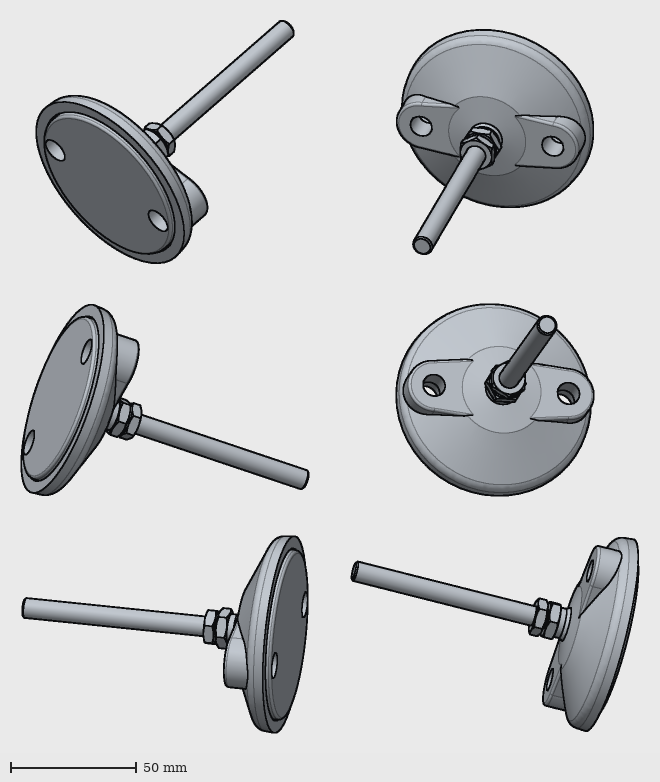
import cadquery as cq
import math


TOTAL_LENGTH = 108.7

PAD_RADIUS = 34.0
PAD_PROUD = 2.1
PAD_EDGE_FILLET = 1.1
PAD_HOLE_RADIUS = 5.1

RIM_DIAMETER = 79.0
RIM_RADIUS = RIM_DIAMETER / 2
RIM_DRAFT = 5.0
SHOULDER_Y = 8.3
SHOULDER_ROUNDING = 4.0
RIDGE_RADIUS = 18.0
RIDGE_Y = 18.3
DOME_TOP_Y = 20.1
RECESS_RADIUS = 34.6
RECESS_Y = 8.0

HOLE_OFFSET = 27.4
BASE_HOLE_RADIUS = 4.5
RIB_END_RADIUS = 10.5
RIB_TAPER = 6.0
RIB_TOP_Y = 18.6
RIB_EDGE_FILLET = 1.1

BALL_RADIUS = 7.1
NECK_RADIUS = 6.1
NECK_START_Y = 21.7
ROD_RADIUS = 4.0
ROD_TIP_CHAMFER = 0.7
RELIEF_RADIUS = 3.6
SPINDLE_HEX_START_Y = 24.3
SPINDLE_HEX_END_Y = 28.7
SPINDLE_HEX_FLATS = 14.0

NUT_START_Y = 29.7
NUT_END_Y = 33.8
NUT_FLATS = 13.0

HEX_SIDES = 6
HEX_HALF_SIDE_ANGLE = 180.0 / HEX_SIDES
HEX_CHAMFER_ANGLE = 30.0

BALL_CENTRE_Y = NECK_START_Y - math.sqrt(BALL_RADIUS**2 - NECK_RADIUS**2)
DOME_TOP_RADIUS = math.sqrt(BALL_RADIUS**2 - (DOME_TOP_Y - BALL_CENTRE_Y) ** 2)


def revolve_about_y(outline):
    return outline.close().revolve(360, (0, 0, 0), (0, 1, 0))


def cylinder_along_y(radius, start_y, end_y, x=0):
    plane = cq.Workplane("XZ", origin=(x, start_y, 0))
    return plane.circle(radius).extrude(start_y - end_y)


def chamfered_hexagon(flats, start_y, end_y, turn):
    """Hexagon along Y with both ends chamfered at the corners; turn 0 puts corners on X."""
    face_radius = flats / 2
    corner_radius = face_radius / math.cos(math.radians(HEX_HALF_SIDE_ANGLE))
    chamfer_height = (corner_radius - face_radius) * math.tan(math.radians(HEX_CHAMFER_ANGLE))
    prism = (
        cq.Workplane("XZ", origin=(0, start_y, 0))
        .polygon(HEX_SIDES, 2 * corner_radius)
        .extrude(start_y - end_y)
        .rotate((0, 0, 0), (0, 1, 0), turn)
    )
    envelope = revolve_about_y(
        cq.Workplane("XY")
        .moveTo(0, start_y)
        .lineTo(face_radius, start_y)
        .lineTo(corner_radius, start_y + chamfer_height)
        .lineTo(corner_radius, end_y - chamfer_height)
        .lineTo(face_radius, end_y)
        .lineTo(0, end_y)
    )
    return prism.intersect(envelope)


def make_ball():
    return cq.Workplane("XY").sphere(BALL_RADIUS).translate((0, BALL_CENTRE_Y, 0))


def make_pad():
    pad = cylinder_along_y(PAD_RADIUS, 0, RECESS_Y).faces("<Y").edges().fillet(PAD_EDGE_FILLET)
    for x in (-HOLE_OFFSET, HOLE_OFFSET):
        pad = pad.cut(cylinder_along_y(PAD_HOLE_RADIUS, 0, RECESS_Y, x))
    return pad


def make_dome():
    shoulder_radius = RIM_RADIUS - (SHOULDER_Y - PAD_PROUD) * math.tan(math.radians(RIM_DRAFT))
    dome = revolve_about_y(
        cq.Workplane("XY")
        .moveTo(0, PAD_PROUD)
        .lineTo(RIM_RADIUS, PAD_PROUD)
        .lineTo(shoulder_radius, SHOULDER_Y)
        .lineTo(RIDGE_RADIUS, RIDGE_Y)
        .lineTo(DOME_TOP_RADIUS, DOME_TOP_Y)
        .lineTo(0, DOME_TOP_Y)
    )
    shoulder_edge = cq.selectors.NearestToPointSelector((0, SHOULDER_Y, 0))
    return dome.edges(shoulder_edge).fillet(SHOULDER_ROUNDING)


def make_ribs():
    """Both ribs as one bar: widest in the middle, with a round end about each hole."""
    middle_half_width = RIB_END_RADIUS + HOLE_OFFSET * math.tan(math.radians(RIB_TAPER))
    tip = HOLE_OFFSET + RIB_END_RADIUS
    return (
        cq.Workplane("XZ", origin=(0, RECESS_Y, 0))
        .moveTo(0, middle_half_width)
        .lineTo(HOLE_OFFSET, RIB_END_RADIUS)
        .threePointArc((tip, 0), (HOLE_OFFSET, -RIB_END_RADIUS))
        .lineTo(0, -middle_half_width)
        .lineTo(-HOLE_OFFSET, -RIB_END_RADIUS)
        .threePointArc((-tip, 0), (-HOLE_OFFSET, RIB_END_RADIUS))
        .close()
        .extrude(RECESS_Y - RIB_TOP_Y)
        .faces(">Y")
        .edges()
        .fillet(RIB_EDGE_FILLET)
    )


def make_base():
    base = make_dome().union(make_ribs())
    base = base.cut(cylinder_along_y(RECESS_RADIUS, PAD_PROUD, RECESS_Y))
    base = base.cut(make_ball())
    for x in (-HOLE_OFFSET, HOLE_OFFSET):
        base = base.cut(cylinder_along_y(BASE_HOLE_RADIUS, RECESS_Y, RIB_TOP_Y, x))
    return base


def make_spindle():
    """Ball, neck, hexagon, relief cone and rod as one piece."""
    neck = cylinder_along_y(NECK_RADIUS, BALL_CENTRE_Y, SPINDLE_HEX_START_Y)
    hexagon = chamfered_hexagon(SPINDLE_HEX_FLATS, SPINDLE_HEX_START_Y, SPINDLE_HEX_END_Y, 0)
    relief = revolve_about_y(
        cq.Workplane("XY")
        .moveTo(0, SPINDLE_HEX_END_Y)
        .lineTo(ROD_RADIUS, SPINDLE_HEX_END_Y)
        .lineTo(RELIEF_RADIUS, NUT_START_Y)
        .lineTo(0, NUT_START_Y)
    )
    rod = cylinder_along_y(ROD_RADIUS, NUT_START_Y, TOTAL_LENGTH)
    rod = rod.faces(">Y").edges().chamfer(ROD_TIP_CHAMFER)
    return make_ball().union(neck).union(hexagon).union(relief).union(rod)


def make_nut():
    """Lock nut turned so that two corners lie on Z."""
    nut = chamfered_hexagon(NUT_FLATS, NUT_START_Y, NUT_END_Y, HEX_HALF_SIDE_ANGLE)
    return nut.cut(cylinder_along_y(ROD_RADIUS, NUT_START_Y, NUT_END_Y))


pad = make_pad()
base = make_base()
spindle = make_spindle()
nut = make_nut()

result = cq.Compound.makeCompound([pad.val(), base.val(), spindle.val(), nut.val()])